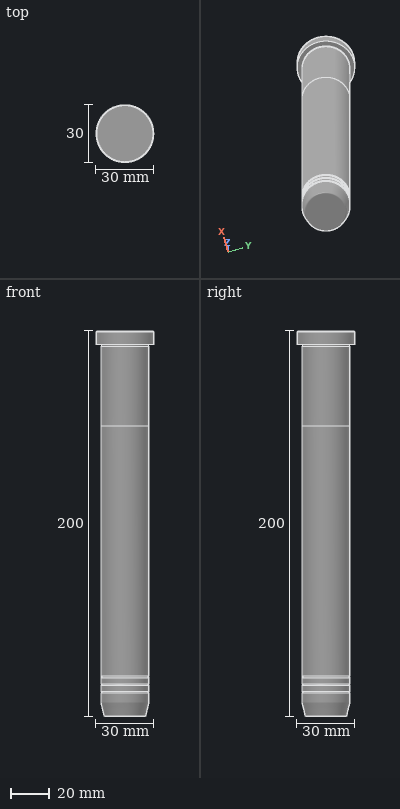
import cadquery as cq

total_length = 200.0
head_radius = 15.0
head_height = 7.0
head_chamfer = 0.5
shank_radius = 12.5
upper_length = 49.5

relief_width = 1.0
relief_depth = 0.2

groove_count = 3
groove_pitch = 4.0
groove_radius = 0.5
lowest_groove_z = 12.5

tip_height = 7.0
tip_radius = 10.8
tip_edge_round = 0.5

joint_z = total_length - upper_length
head_bottom_z = total_length - head_height


def half_round_ring(middle_z):
    """Torus that cuts a half-round groove into the shank surface."""
    return (
        cq.Workplane("XZ")
        .center(shank_radius, middle_z)
        .circle(groove_radius)
        .revolve(360, (-shank_radius, 0), (-shank_radius, 1))
    )


def make_headed_section():
    """Head and the plain upper shank, with a relief groove between them."""
    head = (
        cq.Workplane("XY", origin=(0, 0, head_bottom_z))
        .circle(head_radius)
        .extrude(head_height)
        .faces(">Z")
        .edges()
        .chamfer(head_chamfer)
    )
    shank = (
        cq.Workplane("XY", origin=(0, 0, joint_z))
        .circle(shank_radius)
        .extrude(head_bottom_z - joint_z)
    )
    relief = (
        cq.Workplane("XY", origin=(0, 0, head_bottom_z - relief_width))
        .circle(shank_radius)
        .circle(shank_radius - relief_depth)
        .extrude(relief_width)
    )
    return head.union(shank.cut(relief))


def make_guide_section():
    """Long lower shank with a tapered lead-in and evenly spaced ring grooves."""
    body = (
        cq.Workplane("XZ")
        .lineTo(tip_radius, 0)
        .lineTo(shank_radius, tip_height)
        .lineTo(shank_radius, joint_z)
        .lineTo(0, joint_z)
        .close()
        .revolve(360, (0, 0), (0, 1))
        .faces("<Z")
        .edges()
        .fillet(tip_edge_round)
    )
    for index in range(groove_count):
        groove_z = lowest_groove_z + index * groove_pitch
        body = body.cut(half_round_ring(groove_z))
    return body


headed_section = make_headed_section()
guide_section = make_guide_section()

result = cq.Compound.makeCompound([headed_section.val(), guide_section.val()])